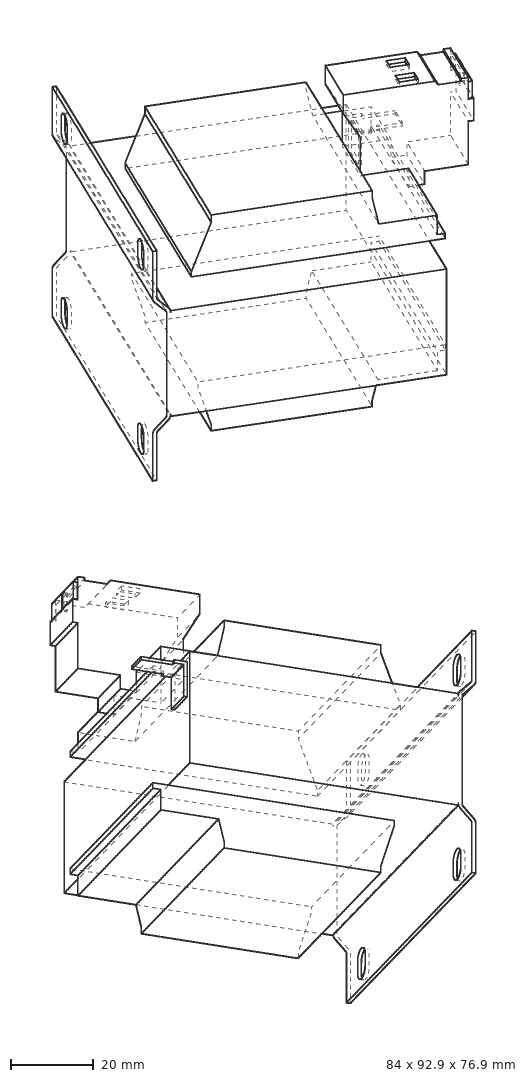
import cadquery as cq
import math


width = 84.0
core_half_height = 14.8
core_front = 4.55
core_back = 74.4

sheet = 1.0
bracket_half_height = 32.05
inner_bend = 0.8
outer_bend = inner_bend + sheet
web_front = core_front - sheet
flange_bend_z = 18.95
flange_bend = (outer_bend, flange_bend_z)
web_bend_y = web_front - inner_bend
web_bend_z = flange_bend_z - (web_bend_y - outer_bend) - math.sqrt(2) * (inner_bend + outer_bend)
web_bend = (web_bend_y, web_bend_z)
slot_width = 5.0
slot_height = 8.0
slot_x = 32.0
slot_z = 25.7

former_width = 55.4
rim_back = 78.4
rim_z = 16.3
shoulder_back = 76.4
shoulder_z = 21.6
coil_back = 59.9
coil_front = 19.1
coil_top = 31.2
coil_bottom = -29.1
upper_edge_band = 2.0
lower_edge_band = 1.8
upper_slope_back = 61.6
upper_slope_front = 14.1
lower_slope_back = 61.3
lower_slope_front = 15.7

block_left = -11.2
block_width = 15.05
block_top = 44.9
block_front = 59.8
block_back = 91.5
block_bottom = 20.2
neck_front = 64.1
nose_bottom = 39.7
nose_slope_bottom = 32.3
foot_back = 80.45
foot_bottom = 16.5
groove_front = 83.9
groove_slope_top = 83.05
groove_back = 89.7
groove_z = 43.8
lip_z = 44.5
ledge_back = 92.9
ledge_bottom = 32.2
ledge_top = 38.5
pole_pitch = block_width / 2
pad_back = 92.6
pad_top = 43.1
pad_width = 6.8
pocket_width = 3.3
pocket_front = 74.7
pocket_back = 79.4
pocket_depth = 1.1

tab_x = -36.0
tab_width = 6.1
tab_root_width = 8.4
tab_sheet = 0.8
tab_top = 12.7
tab_bottom = 3.4
tab_step = 77.8
tab_tip = 85.9


def box(x_min, x_max, y_min, y_max, z_min, z_max):
    """Box between two limits along each axis."""
    corner = (x_min, y_min, z_min)
    size = (x_max - x_min, y_max - y_min, z_max - z_min)
    return cq.Workplane("XY").box(*size, centered=False).translate(corner)


def prism(points, x_min, x_max):
    """Closed (y, z) outline extruded along X."""
    return cq.Workplane("YZ", origin=(x_min, 0, 0)).polyline(points).close().extrude(x_max - x_min)


def on_bend(center, radius, degrees):
    """Point on a bend of the bracket; the angle is measured from +Y towards +Z."""
    angle = math.radians(degrees)
    return (center[0] + radius * math.cos(angle), center[1] + radius * math.sin(angle))


def make_bracket():
    """Web with two flanges stepped forward through 45 degree bends, and four slots."""
    upper_half = (
        cq.Workplane("YZ", origin=(-width / 2, 0, 0))
        .moveTo(0, bracket_half_height)
        .lineTo(*on_bend(flange_bend, outer_bend, 180))
        .threePointArc(on_bend(flange_bend, outer_bend, 202.5), on_bend(flange_bend, outer_bend, 225))
        .lineTo(*on_bend(web_bend, inner_bend, 45))
        .threePointArc(on_bend(web_bend, inner_bend, 22.5), on_bend(web_bend, inner_bend, 0))
        .lineTo(web_front, 0)
        .lineTo(core_front, 0)
        .lineTo(*on_bend(web_bend, outer_bend, 0))
        .threePointArc(on_bend(web_bend, outer_bend, 22.5), on_bend(web_bend, outer_bend, 45))
        .lineTo(*on_bend(flange_bend, inner_bend, 225))
        .threePointArc(on_bend(flange_bend, inner_bend, 202.5), on_bend(flange_bend, inner_bend, 180))
        .lineTo(sheet, bracket_half_height)
        .close()
        .extrude(width)
    )
    slots = (
        cq.Workplane("XZ")
        .rect(2 * slot_x, 2 * slot_z, forConstruction=True)
        .vertices()
        .slot2D(slot_height, slot_width, 90)
        .extrude(-sheet)
    )
    return upper_half.union(upper_half.mirror("XY")).cut(slots)


def make_former():
    """Coil former standing out of the core above and below, with a thin rim at the back."""
    upper_band_z = coil_top - upper_edge_band
    lower_band_z = coil_bottom + lower_edge_band
    outline = [
        (rim_back, core_half_height),
        (rim_back, rim_z),
        (shoulder_back, rim_z),
        (shoulder_back, shoulder_z),
        (upper_slope_back, shoulder_z),
        (coil_back, upper_band_z),
        (coil_back, coil_top),
        (coil_front, coil_top),
        (coil_front, upper_band_z),
        (upper_slope_front, rim_z),
        (upper_slope_front, core_half_height),
        (lower_slope_front, -core_half_height),
        (lower_slope_front, -rim_z),
        (coil_front, lower_band_z),
        (coil_front, coil_bottom),
        (coil_back, coil_bottom),
        (coil_back, lower_band_z),
        (lower_slope_back, -shoulder_z),
        (shoulder_back, -shoulder_z),
        (shoulder_back, -rim_z),
        (rim_back, -rim_z),
        (rim_back, -core_half_height),
        (core_back, -core_half_height),
        (core_back, core_half_height),
    ]
    return prism(outline, -former_width / 2, former_width / 2)


def make_terminal_block():
    """Two-pole terminal block resting on the shoulder of the former."""
    block_right = block_left + block_width
    outline = [
        (block_front, block_top),
        (groove_slope_top, block_top),
        (groove_front, groove_z),
        (groove_back, groove_z),
        (groove_back, lip_z),
        (block_back, lip_z),
        (block_back, ledge_top),
        (ledge_back, ledge_top),
        (ledge_back, ledge_bottom),
        (block_back, ledge_bottom),
        (block_back, block_bottom),
        (foot_back, block_bottom),
        (foot_back, foot_bottom),
        (shoulder_back, foot_bottom),
        (shoulder_back, shoulder_z),
        (neck_front, shoulder_z),
        (neck_front, nose_slope_bottom),
        (block_front, nose_bottom),
    ]
    block = prism(outline, block_left, block_right)
    pocket_floor = block_top - pocket_depth
    for side in (-1, 1):
        x = block_left + block_width / 2 + side * pole_pitch / 2
        pad_left = x - pad_width / 2
        block = block.union(box(pad_left, pad_left + pad_width, block_back, pad_back, ledge_top, pad_top))
        pocket_left = x - pocket_width / 2
        block = block.cut(
            box(pocket_left, pocket_left + pocket_width, pocket_front, pocket_back, pocket_floor, block_top)
        )
    return block


def make_tab():
    """Angled plug tab fixed to the back of the core, with a narrower blade."""
    root_left = tab_x - tab_root_width / 2
    root_right = tab_x + tab_root_width / 2
    blade_bottom = tab_top - tab_sheet
    leg = box(root_left, root_right, core_back, core_back + tab_sheet, tab_bottom, tab_top)
    root = box(root_left, root_right, core_back, tab_step, blade_bottom, tab_top)
    blade = box(tab_x - tab_width / 2, tab_x + tab_width / 2, tab_step, tab_tip, blade_bottom, tab_top)
    return leg.union(root).union(blade)


core = box(-width / 2, width / 2, core_front, core_back, -core_half_height, core_half_height)
result = core.union(make_bracket()).union(make_former()).union(make_terminal_block()).union(make_tab())